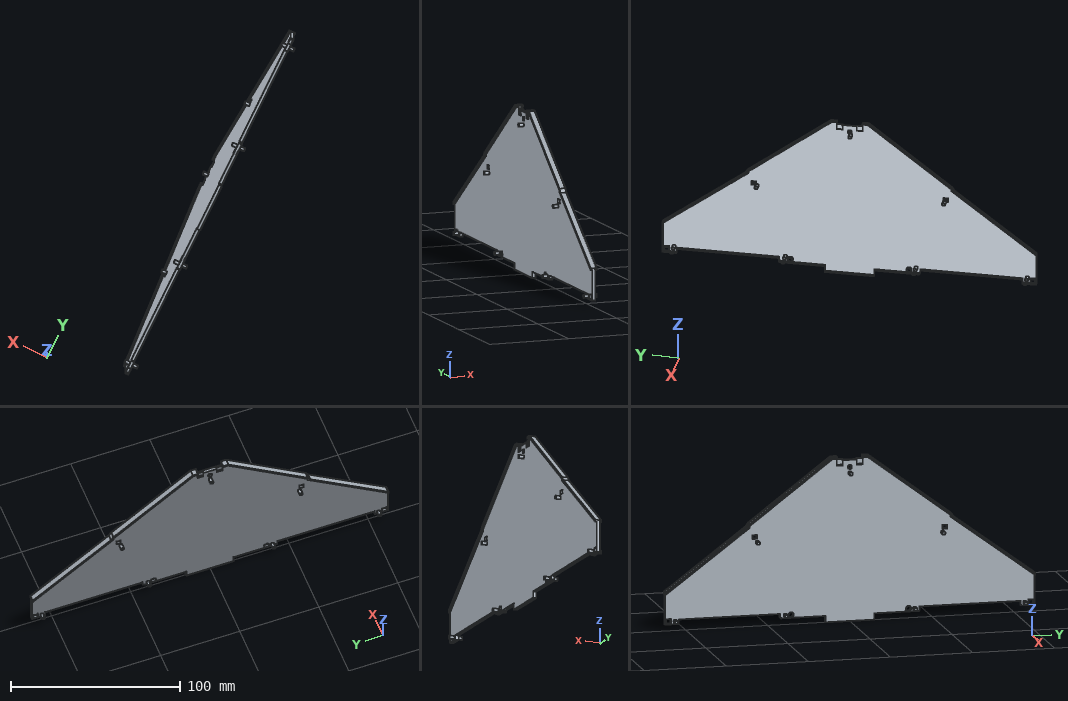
import cadquery as cq
import math

span = 225.0
height = 100.0
plate_thick = 2.0
rim_width = 3.8
rim_thick = 1.01
upper_slope = 0.75
lower_slope = 0.74
peak_y = 11.2
lower_rim_top_z = 23.5
step_top_y = 61.5
step_bottom_y = 63.0
step_inner_y = 61.2

notch_half = 7.9
notch_floor_half = 4.3
tab_drop = 1.5
floor_drop = 2.2
pocket_bottom_z = 94.5
pocket_depth = 0.56

foot_z = 3.8
recess_z = 6.5
tongue_half = 14.8
inner_foot_half = 42.5
foot_chamfer = 0.7
end_foot_inner_y = 104.2

pin_length = 8.0
pin_dia = 2.0
foot_feature_z = 5.6
pin_spots = [(0, 89.8), (56.5, 50.8), (39.4, foot_feature_z), (106.5, foot_feature_z)]
top_hole_z = 93.4
top_hole_dia = 2.5
foot_hole_y = 35.8
foot_hole_dia = 3.2
end_hole_y = 110.2
end_hole_size = 3.0
slot_y, slot_z = 57.8, 54.0
slot_length, slot_height = 2.7, 2.2

half_span = span / 2
upper_rim_drop = rim_thick / math.cos(math.atan(upper_slope))
lower_rim_drop = rim_thick / math.cos(math.atan(lower_slope))


def upper_edge_z(y):
    """Outer face of the upper rim."""
    return height - upper_slope * (y - peak_y)


def lower_edge_z(y):
    """Outer face of the lower rim."""
    return lower_rim_top_z + lower_slope * (half_span - y)


plate_top_z = height - rim_thick
plate_peak_y = peak_y - (upper_rim_drop - rim_thick) / upper_slope

plate_edge = [
    (half_span, lower_rim_top_z - lower_rim_drop),
    (step_inner_y, lower_edge_z(step_inner_y) - lower_rim_drop),
    (step_inner_y, upper_edge_z(step_inner_y) - upper_rim_drop),
    (plate_peak_y, plate_top_z),
    (notch_half, plate_top_z),
]


def extrude_yz(points, thick):
    """Extrude a closed (y, z) outline along X, centred on X = 0."""
    return cq.Workplane("YZ").polyline(points).close().extrude(thick / 2, both=True)


def cylinder_x(y, z, dia, length):
    return cq.Workplane("YZ").center(y, z).circle(dia / 2).extrude(length / 2, both=True)


def block_x(y, z, size_y, size_z, length):
    return cq.Workplane("XY").box(length, size_y, size_z).translate((0, y, z))


def mirrored(shape):
    """The shape together with its copy on the -Y side."""
    return shape.union(shape.mirror("XZ"))


def half_plate():
    return extrude_yz(
        [
            (0, 0),
            (tongue_half, 0),
            (tongue_half, foot_z),
            (inner_foot_half - foot_chamfer, foot_z),
            (inner_foot_half, foot_z + foot_chamfer),
            (inner_foot_half, recess_z),
            (end_foot_inner_y, recess_z),
            (end_foot_inner_y, foot_z),
            (half_span, foot_z),
            *plate_edge,
            (notch_half, height - tab_drop),
            (notch_floor_half, height - tab_drop),
            (notch_floor_half, height - floor_drop),
            (0, height - floor_drop),
        ],
        plate_thick,
    )


def half_rim():
    """Wide band along the sloping edge, with a small step part-way down."""
    outer_edge = [
        (notch_half, height),
        (peak_y, height),
        (step_top_y, upper_edge_z(step_top_y)),
        (step_bottom_y, lower_edge_z(step_bottom_y)),
        (half_span, lower_rim_top_z),
    ]
    return extrude_yz(outer_edge + plate_edge, rim_width)


def tab_pocket():
    """Pocket thinning the -X face of a tab, open at the top, with a 45 degree ramp at its foot."""
    face_x = -plate_thick / 2
    floor_x = face_x + pocket_depth
    return (
        cq.Workplane("XZ", origin=(0, notch_half, 0))
        .polyline(
            [
                (face_x, pocket_bottom_z),
                (floor_x, pocket_bottom_z + pocket_depth),
                (floor_x, height - tab_drop),
                (face_x, height - tab_drop),
            ]
        )
        .close()
        .extrude(notch_half - notch_floor_half)
    )


half = half_plate().union(half_rim())
half = half.cut(tab_pocket()).cut(tab_pocket().mirror("YZ"))
half = half.cut(cylinder_x(foot_hole_y, foot_feature_z, foot_hole_dia, plate_thick))
half = half.cut(block_x(end_hole_y, foot_feature_z, end_hole_size, end_hole_size, plate_thick))
half = half.cut(block_x(slot_y, slot_z, slot_length, slot_height, plate_thick))

result = mirrored(half).cut(cylinder_x(0, top_hole_z, top_hole_dia, plate_thick))
for pin_y, pin_z in pin_spots:
    result = result.union(mirrored(cylinder_x(pin_y, pin_z, pin_dia, pin_length)))